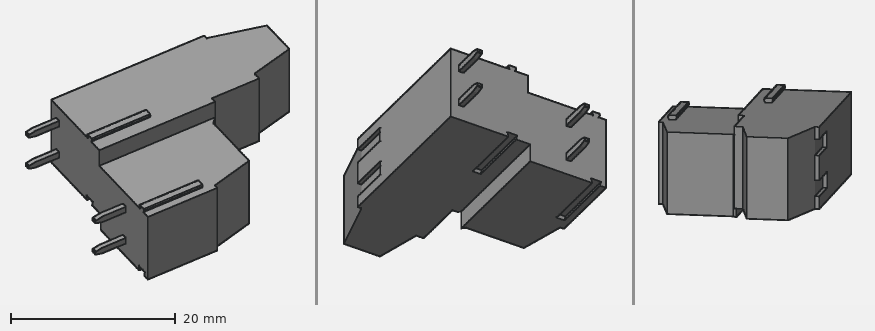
import cadquery as cq

TOTAL_WIDTH = 22.0
BLOCK_HEIGHT = 10.17
BLOCK_OFFSET = 2.55
TALL_TOP = BLOCK_OFFSET + BLOCK_HEIGHT
TALL_EDGE_X = 10.95
SHORT_EDGE_X = 11.25

TOWER_LENGTH = 29.4
TOWER_LEFT_X = 2.5
TOWER_RIGHT_X = 7.6
SHOULDER_WIDTH = 0.55
LEFT_SHOULDER_Y = 21.97
RIGHT_SHOULDER_Y = 23.42
RIGHT_SHOULDER_X = 9.15
TOWER_SIDE_X = 10.2
STEP_Y = 16.63
STEP_CHAMFER = 0.75
SHORT_LENGTH = STEP_Y - STEP_CHAMFER
SHORT_TOP_X = 19.87
SHORT_SHOULDER_Y = 9.97

DOVETAIL_LENGTH = 8.4
TALL_DOVETAIL_X = 8.72
SHORT_DOVETAIL_X = 20.6
RIB_HEIGHT = 0.57
RIB_WIDTH = 1.15
RIB_FACE_WIDTH = 0.95
RIB_NECK_WIDTH = 0.78
GROOVE_DEPTH = 0.65
GROOVE_WIDTH = 1.3
GROOVE_FACE_WIDTH = 1.42
GROOVE_NECK_WIDTH = 1.1
DOVETAIL_LIP = 0.25

PIN_LENGTH = 4.4
PIN_WIDTH = 0.68
PIN_HEIGHT = 0.9
PIN_TAPER_LENGTH = 1.0
PIN_TAPER_END_HEIGHT = 0.47
PIN_BEVEL_LENGTH = 0.1
PIN_TIP_HEIGHT = 0.35
PIN_PITCH = 5.07
TALL_PIN_X = 1.5
SHORT_PIN_X = 16.65
LOWEST_PIN_RISE = 2.57

POCKET_HEIGHT = 2.0
POCKET_DEPTH = SHOULDER_WIDTH
LOWER_POCKET_Y = 16.63
UPPER_POCKET_Y = 16.73


def box(x_range, y_range, z_range):
    """Box spanning the given (low, high) ranges."""
    sizes = [high - low for low, high in (x_range, y_range, z_range)]
    corner = (x_range[0], y_range[0], z_range[0])
    return cq.Workplane("XY").box(*sizes, centered=False).translate(corner)


def make_housing():
    """Stepped outline at full height, relieved above the short block and below the tall one."""
    outline = [
        (0, 0),
        (TOTAL_WIDTH, 0),
        (TOTAL_WIDTH, SHORT_SHOULDER_Y),
        (TOTAL_WIDTH - SHOULDER_WIDTH, SHORT_SHOULDER_Y),
        (SHORT_TOP_X, SHORT_LENGTH),
        (TALL_EDGE_X + STEP_CHAMFER, SHORT_LENGTH),
        (TALL_EDGE_X, STEP_Y),
        (TOWER_SIDE_X, STEP_Y),
        (TOWER_SIDE_X, RIGHT_SHOULDER_Y),
        (RIGHT_SHOULDER_X, RIGHT_SHOULDER_Y),
        (TOWER_RIGHT_X, TOWER_LENGTH),
        (TOWER_LEFT_X, TOWER_LENGTH),
        (SHOULDER_WIDTH, LEFT_SHOULDER_Y),
        (0, LEFT_SHOULDER_Y),
    ]
    full = cq.Workplane("XY").polyline(outline).close().extrude(TALL_TOP)
    above_short = box((TALL_EDGE_X, TOTAL_WIDTH), (0, TOWER_LENGTH), (BLOCK_HEIGHT, TALL_TOP))
    below_tall = box((0, SHORT_EDGE_X), (0, TOWER_LENGTH), (0, BLOCK_OFFSET))
    return full.cut(above_short).cut(below_tall)


def make_dovetail(center_x, base_z, height, neck_width, width, face_width):
    """Dovetail bar rising from base_z, set by its widths at the base, below the lip and at the face."""
    profile = [
        (center_x - neck_width / 2, base_z),
        (center_x + neck_width / 2, base_z),
        (center_x + width / 2, base_z + height - DOVETAIL_LIP),
        (center_x + face_width / 2, base_z + height),
        (center_x - face_width / 2, base_z + height),
        (center_x - width / 2, base_z + height - DOVETAIL_LIP),
    ]
    return cq.Workplane("XZ").polyline(profile).close().extrude(-DOVETAIL_LENGTH)


def make_pin(center_x, center_z):
    """Flat pin standing out of the mounting face, tapered in height and bevelled at its tip."""
    taper_start = PIN_TAPER_LENGTH - PIN_LENGTH
    taper_end = PIN_BEVEL_LENGTH - PIN_LENGTH
    profile = [
        (0, center_z - PIN_HEIGHT / 2),
        (taper_start, center_z - PIN_HEIGHT / 2),
        (taper_end, center_z - PIN_TAPER_END_HEIGHT / 2),
        (-PIN_LENGTH, center_z - PIN_TIP_HEIGHT / 2),
        (-PIN_LENGTH, center_z + PIN_TIP_HEIGHT / 2),
        (taper_end, center_z + PIN_TAPER_END_HEIGHT / 2),
        (taper_start, center_z + PIN_HEIGHT / 2),
        (0, center_z + PIN_HEIGHT / 2),
    ]
    side_plane = cq.Workplane("YZ", origin=(center_x, 0, 0))
    return side_plane.polyline(profile).close().extrude(PIN_WIDTH / 2, both=True)


def make_pocket(center_z, start_y):
    """Shallow recess in the left side, running from start_y out through the shoulder."""
    z_range = (center_z - POCKET_HEIGHT / 2, center_z + POCKET_HEIGHT / 2)
    return box((0, POCKET_DEPTH), (start_y, LEFT_SHOULDER_Y), z_range)


result = make_housing()

blocks = [
    (BLOCK_OFFSET, TALL_DOVETAIL_X, TALL_PIN_X),
    (0, SHORT_DOVETAIL_X, SHORT_PIN_X),
]
for bottom_z, dovetail_x, pin_x in blocks:
    rib = make_dovetail(
        dovetail_x, bottom_z + BLOCK_HEIGHT, RIB_HEIGHT, RIB_NECK_WIDTH, RIB_WIDTH, RIB_FACE_WIDTH
    )
    groove = make_dovetail(
        dovetail_x, bottom_z, GROOVE_DEPTH, GROOVE_NECK_WIDTH, GROOVE_WIDTH, GROOVE_FACE_WIDTH
    )
    result = result.union(rib).cut(groove)
    for row in range(2):
        pin_z = bottom_z + LOWEST_PIN_RISE + row * PIN_PITCH
        result = result.union(make_pin(pin_x, pin_z))

for row, pocket_y in enumerate([LOWER_POCKET_Y, UPPER_POCKET_Y]):
    pocket_z = BLOCK_OFFSET + LOWEST_PIN_RISE + row * PIN_PITCH
    result = result.cut(make_pocket(pocket_z, pocket_y))